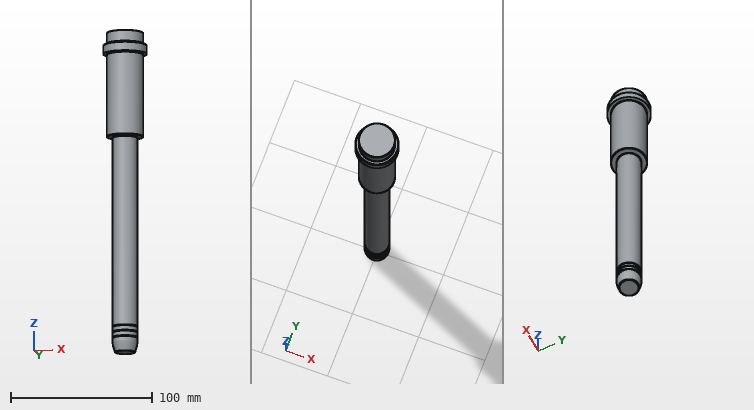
import cadquery as cq

total_length = 230.0

head_diameter = 26.0
head_length = 75.0
head_bottom = total_length - head_length
head_edge_chamfer = 0.5

collar_diameter = 31.0
collar_height = 6.5
collar_top = total_length - 8.7
collar_bottom = collar_top - collar_height
collar_chamfer = 0.7

relief_width = 1.0
relief_depth = 0.35

stem_diameter = 18.0
stem_radius = stem_diameter / 2

tip_height = 7.4
tip_diameter = 14.3
tip_radius = tip_diameter / 2
tip_bulge = 0.2
tip_chamfer = 0.5

groove_count = 3
groove_pitch = 4.0
groove_width = 1.0
groove_depth = 0.35
lowest_groove_center = 10.5


def cylinder(diameter, bottom, top):
    """Solid cylinder on the Z axis between two heights."""
    return cq.Workplane("XY").workplane(offset=bottom).circle(diameter / 2).extrude(top - bottom)


def v_groove(diameter, depth, center, width):
    """Ring that cuts a V-shaped groove into a cylinder of the given diameter."""
    radius = diameter / 2
    outline = [
        (radius, center - width / 2),
        (radius - depth, center),
        (radius, center + width / 2),
    ]
    return cq.Workplane("XZ").polyline(outline).close().revolve(360, (0, 0, 0), (0, 1, 0))


def make_head():
    head = cylinder(head_diameter, head_bottom, total_length)
    head = head.faces("<Z or >Z").edges().chamfer(head_edge_chamfer)
    for center in (collar_top + relief_width / 2, collar_bottom - relief_width / 2):
        head = head.cut(v_groove(head_diameter, relief_depth, center, relief_width))
    return head


def make_collar():
    collar = cylinder(collar_diameter, collar_bottom, collar_top)
    return collar.faces(">Z").edges().chamfer(collar_chamfer)


def make_stem():
    middle_of_tip = ((stem_radius + tip_radius) / 2 + tip_bulge, tip_height / 2)
    profile = (
        cq.Workplane("XZ")
        .lineTo(tip_radius, 0)
        .threePointArc(middle_of_tip, (stem_radius, tip_height))
        .lineTo(stem_radius, head_bottom)
        .lineTo(0, head_bottom)
        .close()
    )
    stem = profile.revolve(360, (0, 0, 0), (0, 1, 0))
    stem = stem.faces("<Z").edges().chamfer(tip_chamfer)
    for index in range(groove_count):
        center = lowest_groove_center + index * groove_pitch
        stem = stem.cut(v_groove(stem_diameter, groove_depth, center, groove_width))
    relief_center = head_bottom - relief_width / 2
    stem = stem.cut(v_groove(stem_diameter, relief_depth, relief_center, relief_width))
    return stem


result = make_stem().union(make_head()).union(make_collar())